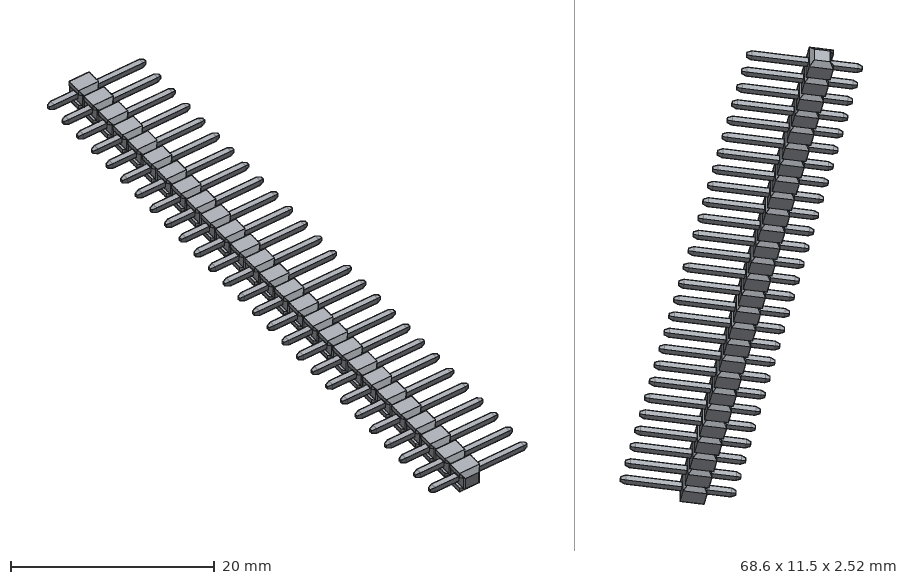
import cadquery as cq

PIN_COUNT = 27
STRIP_LENGTH = 68.6
PITCH = STRIP_LENGTH / PIN_COUNT

BODY_DEPTH = 2.4
END_HEIGHT = 1.4
BEVEL_WIDTH = 0.445
BEVEL_HEIGHT = 0.56
BEVEL_DEPTH = 0.4
BODY_HEIGHT = END_HEIGHT + 2 * BEVEL_HEIGHT
CHANNEL_DEPTH = 0.3
CHANNEL_HEIGHT = END_HEIGHT

PIN_WIDTH = 0.64
PIN_LENGTH = 11.5
PIN_BACK_REACH = 6.1
TIP_WIDTH = 0.35
TIP_LENGTH = 0.5

PIN_BACK = BODY_DEPTH / 2 + PIN_BACK_REACH
PIN_FRONT = PIN_BACK - PIN_LENGTH


def bevelled_outline(plane, side, end_side):
    """Octagon one pitch wide: `side` tall across the middle, `end_side` tall at both X ends."""
    end_x = PITCH / 2
    shoulder_x = end_x - BEVEL_WIDTH
    return cq.Workplane(plane).polyline([
        (-end_x, -end_side / 2),
        (-shoulder_x, -side / 2),
        (shoulder_x, -side / 2),
        (end_x, -end_side / 2),
        (end_x, end_side / 2),
        (shoulder_x, side / 2),
        (-shoulder_x, side / 2),
        (-end_x, end_side / 2),
    ]).close()


def make_cell():
    """One body cell, bevelled seen along both Y and Z, with a channel along X in its front face."""
    along_y = bevelled_outline("XZ", BODY_HEIGHT, END_HEIGHT).extrude(BODY_DEPTH / 2, both=True)
    end_depth = BODY_DEPTH - 2 * BEVEL_DEPTH
    along_z = bevelled_outline("XY", BODY_DEPTH, end_depth).extrude(BODY_HEIGHT / 2, both=True)
    channel = (
        cq.Workplane("XY")
        .box(PITCH, CHANNEL_DEPTH, CHANNEL_HEIGHT)
        .translate((0, (CHANNEL_DEPTH - BODY_DEPTH) / 2, 0))
    )
    return along_y.intersect(along_z).cut(channel)


def make_tip(base_y, direction):
    """Tapered pin end running from `base_y` towards `direction` (+1 or -1) along Y."""
    base = cq.Plane(origin=(0, base_y, 0), xDir=(1, 0, 0), normal=(0, direction, 0))
    return (
        cq.Workplane(base)
        .rect(PIN_WIDTH, PIN_WIDTH)
        .workplane(offset=TIP_LENGTH)
        .rect(TIP_WIDTH, TIP_WIDTH)
        .loft(ruled=True)
    )


def make_pin():
    """Square pin along Y with a tapered tip at both ends."""
    shaft_length = PIN_LENGTH - 2 * TIP_LENGTH
    shaft = (
        cq.Workplane("XY")
        .box(PIN_WIDTH, shaft_length, PIN_WIDTH)
        .translate((0, (PIN_BACK + PIN_FRONT) / 2, 0))
    )
    back_tip = make_tip(PIN_BACK - TIP_LENGTH, 1)
    front_tip = make_tip(PIN_FRONT + TIP_LENGTH, -1)
    return shaft.union(back_tip).union(front_tip)


station = make_cell().union(make_pin()).val()
first_x = (PITCH - STRIP_LENGTH) / 2
stations = [station.translate(cq.Vector(first_x + i * PITCH, 0, 0)) for i in range(PIN_COUNT)]
result = cq.Workplane(stations[0].fuse(*stations[1:]))